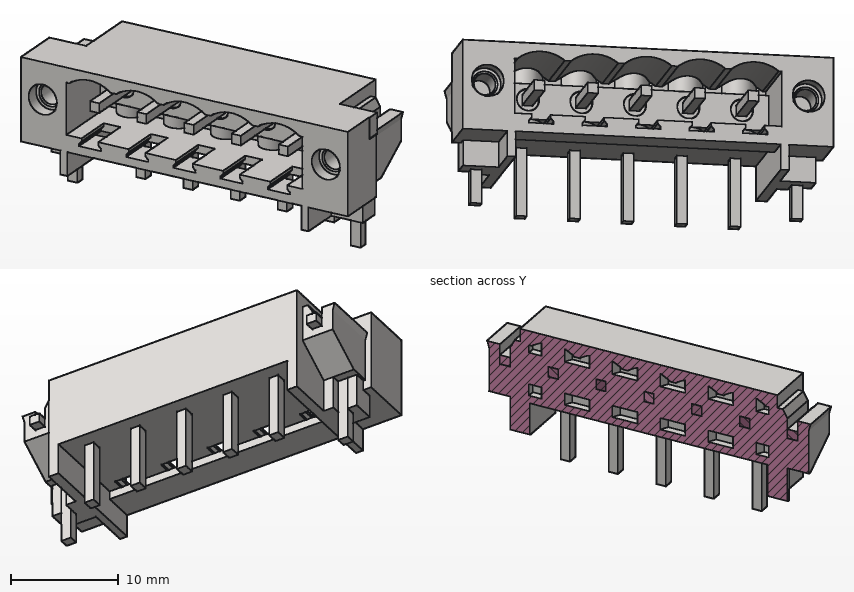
import cadquery as cq
import math


flange_width = 35.13
flange_depth = 5.3
flange_bottom = 2.43
top = 11.0
body_width = 27.25
body_depth = 12.0
body_half = body_width / 2

pad_thickness = 0.07
pad_front = 3.98
pad_bottom = 8.8

foot_inner_half = 12.55
front_foot_outer_half = 13.35
underside_front = 3.05
underside_top = 3.3

contact_count = 5
pitch = 5.07
contact_height = 7.18
pin_width = 1.0
pin_tip = 0.88
pin_leg_back = 10.52
pin_leg_depth = 1.1
tail_length = 3.2
contact_places = [(i - (contact_count - 1) / 2) * pitch for i in range(contact_count)]

cavity_width = 25.35
cavity_floor = 4.15
cavity_roof = 9.45
cavity_back = 7.78
scallop_radius = 3.6
scallop_top = 10.2

post_radius = 1.4
post_flank_angle = 60
post_half = 1.65
bar_front = 6.35
bar_bottom = 5.3
bar_top = 8.7
bar_recess_radius = 1.05
bar_recess_depth = 0.35

slot_neck = 1.8
slot_width = 2.35
slot_neck_height = 0.3
slot_flare_height = 0.3
slot_length = 4.12

nut_offset = 15.2
nut_radius = 1.5
nut_front = 1.37
nut_back = 4.22
nut_bore_radius = 1.02
nut_chamfer_width = 0.18
nut_chamfer_depth = 0.1

anchor_width = 1.05
anchor_thickness = 0.95
anchor_front = 5.53

fork_back = 11.0
fork_foot_back = 7.32
fork_bottom = 3.5
fork_back_bottom = 5.85
outer_prong_lip = 17.15
outer_prong_face = 16.93
outer_prong_top = 8.8
lip_height = 0.75
inner_prong_top = 9.65
inner_prong_crest = 0.55
inner_prong_slope_angle = 30
block_front = 4.22
block_back = 6.48
block_outer = 16.72
slot_outer = nut_offset + anchor_width / 2
slot_inner = nut_offset - anchor_width / 2


def box(x, y, z):
    """A box between the given (low, high) limits."""
    size = [high - low for low, high in (x, y, z)]
    return cq.Workplane("XY").box(*size, centered=False).translate((x[0], y[0], z[0]))


def rod_along_y(x, radius, front, back):
    """A round bar at contact height, from front to back."""
    plane = cq.Workplane("XZ", origin=(x, front, contact_height))
    return plane.circle(radius).extrude(front - back)


def on_both_sides(right_part):
    """The part built on the +X side together with its mirror image."""
    return right_part.union(right_part.mirror("YZ"))


def make_shell():
    """Flange with its pad, rear body, side walls and the open underside."""
    half = flange_width / 2
    flange = box((-half, half), (0, flange_depth), (flange_bottom, top))
    body = box((-body_half, body_half), (flange_depth, body_depth), (0, top))
    underside = box(
        (-foot_inner_half, foot_inner_half), (underside_front, body_depth), (0, underside_top)
    )
    foot = box((foot_inner_half, front_foot_outer_half), (0, flange_depth), (0, flange_bottom))
    pad = box((half, half + pad_thickness), (pad_front, flange_depth), (pad_bottom, top))
    return flange.union(body).cut(underside).union(on_both_sides(foot)).union(pad)


def make_post(x):
    """A post with a round nose and straight flanks, from floor to scallop top."""
    flank = math.radians(post_flank_angle)
    nose_half = post_radius * math.sin(flank)
    nose_end = bar_front + post_radius * (1 - math.cos(flank))
    return (
        cq.Workplane("XY", origin=(x, 0, cavity_floor))
        .moveTo(-post_half, cavity_back)
        .lineTo(-nose_half, nose_end)
        .threePointArc((0, bar_front), (nose_half, nose_end))
        .lineTo(post_half, cavity_back)
        .close()
        .extrude(scallop_top - cavity_floor)
    )


def make_cavity():
    """The space for the plug: scalloped roof, posts and cross bar left standing, a recess round each pin."""
    half = cavity_width / 2
    cavity = box((-half, half), (0, cavity_back), (cavity_floor, cavity_roof))
    scallop_limits = box((-half, half), (0, cavity_back), (cavity_floor, top))
    for x in contact_places:
        plane = cq.Workplane("XZ", origin=(x, 0, scallop_top - scallop_radius))
        scallop = plane.circle(scallop_radius).extrude(-cavity_back)
        cavity = cavity.union(scallop.intersect(scallop_limits))
    for x in contact_places:
        cavity = cavity.cut(make_post(x))
    cavity = cavity.cut(box((-half, half), (bar_front, cavity_back), (bar_bottom, bar_top)))
    for x in contact_places:
        recess = rod_along_y(x, bar_recess_radius, bar_front, bar_front + bar_recess_depth)
        cavity = cavity.union(recess)
    return cavity


def make_key_slot(x):
    """A dovetail slot in the cavity floor, open at the front."""
    neck = slot_neck / 2
    wide = slot_width / 2
    flare_top = cavity_floor - slot_neck_height
    flare_bottom = flare_top - slot_flare_height
    right_edge = [
        (neck, cavity_floor), (neck, flare_top), (wide, flare_bottom), (wide, underside_top)
    ]
    left_edge = [(-across, height) for across, height in reversed(right_edge)]
    plane = cq.Workplane("XZ", origin=(x, 0, 0))
    return plane.polyline(right_edge + left_edge).close().extrude(-slot_length)


def make_fork():
    """The +X fork: two hooked prongs with a channel between them, on a foot."""
    slope_height = (slot_inner - body_half - inner_prong_crest) / math.tan(
        math.radians(inner_prong_slope_angle)
    )
    channel_floor = contact_height - anchor_thickness / 2
    prongs = (
        cq.Workplane("XZ", origin=(0, flange_depth, 0))
        .polyline([
            (body_half, 0),
            (outer_prong_face, 0),
            (outer_prong_face, outer_prong_top - lip_height),
            (outer_prong_lip, outer_prong_top),
            (slot_outer, outer_prong_top),
            (slot_outer, channel_floor),
            (slot_inner, channel_floor),
            (slot_inner, inner_prong_top - slope_height),
            (body_half + inner_prong_crest, inner_prong_top),
            (body_half, inner_prong_top),
        ])
        .close()
        .extrude(flange_depth - fork_back)
    )
    side_outline = (
        cq.Workplane("YZ", origin=(body_half, 0, 0))
        .polyline([
            (flange_depth, fork_bottom),
            (fork_foot_back, fork_bottom),
            (fork_back, fork_back_bottom),
            (fork_back, top),
            (flange_depth, top),
        ])
        .close()
        .extrude(outer_prong_lip - body_half)
    )
    inner_foot = box((body_half, slot_inner), (flange_depth, fork_foot_back), (0, fork_bottom))
    block_under_flange = box(
        (front_foot_outer_half, block_outer), (block_front, flange_depth), (0, flange_bottom)
    )
    block_behind_flange = box((body_half, block_outer), (flange_depth, block_back), (0, fork_bottom))
    fork = prongs.intersect(side_outline).union(inner_foot)
    return fork.union(block_under_flange).union(block_behind_flange)


def make_nut(x):
    """A round nut with a chamfered bore."""
    nut = rod_along_y(x, nut_radius, nut_front, nut_back)
    bore = rod_along_y(x, nut_bore_radius, nut_front, nut_back)
    mouth = (
        cq.Workplane("XY", origin=(x, nut_front, contact_height))
        .polyline([
            (0, 0),
            (nut_bore_radius + nut_chamfer_width, 0),
            (nut_bore_radius, nut_chamfer_depth),
            (0, nut_chamfer_depth),
        ])
        .close()
        .revolve(360, (0, 0), (0, 1))
    )
    return nut.cut(bore).cut(mouth)


def make_angled_pin(x, width, thickness, tip, end, leg):
    """A bent pin: a bar along Y from tip to end, and a leg down through the board plane."""
    sides = (x - width / 2, x + width / 2)
    bar_limits = (contact_height - thickness / 2, contact_height + thickness / 2)
    bar = box(sides, (tip, end), bar_limits)
    return bar.union(box(sides, leg, (-tail_length, bar_limits[1])))


def make_contact(x):
    """A contact pin with its leg at the rear end."""
    leg = (pin_leg_back - pin_leg_depth, pin_leg_back)
    return make_angled_pin(x, pin_width, pin_width, pin_tip, pin_leg_back, leg)


def make_anchor(x):
    """A solder anchor with its leg at the front end."""
    leg = (anchor_front, anchor_front + anchor_thickness)
    return make_angled_pin(x, anchor_width, anchor_thickness, anchor_front, body_depth, leg)


def make_housing(inserts):
    """The housing, with a matching seat for every insert."""
    housing = make_shell().cut(make_cavity())
    for x in contact_places:
        housing = housing.cut(make_key_slot(x))
    housing = housing.union(on_both_sides(make_fork()))
    for x in (-nut_offset, nut_offset):
        housing = housing.cut(rod_along_y(x, nut_radius, 0, nut_back))
    for insert in inserts:
        housing = housing.cut(insert)
    return housing


contacts = [make_contact(x) for x in contact_places]
anchors = [make_anchor(x) for x in (-nut_offset, nut_offset)]
nuts = [make_nut(x) for x in (-nut_offset, nut_offset)]
housing = make_housing(contacts + anchors)

bodies = [housing] + contacts + anchors + nuts
result = cq.Compound.makeCompound([body.solids().val() for body in bodies])